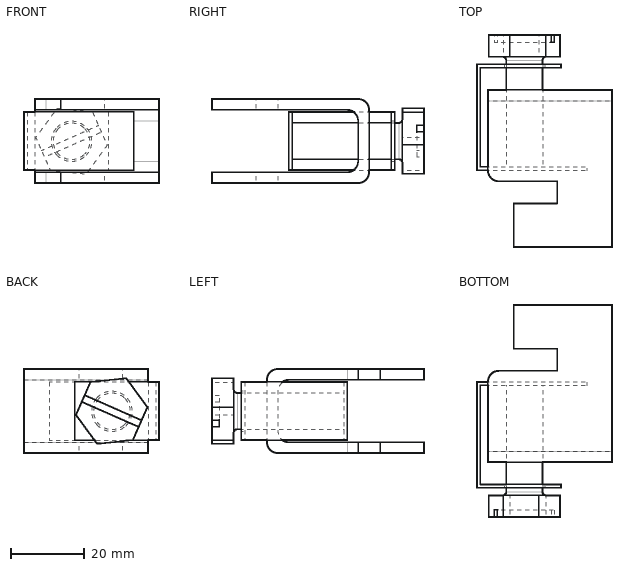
import cadquery as cq
import math


bracket_height = 23.0
bracket_length = 43.0
bracket_width = 34.0
bracket_left = -10.0
sheet_thickness = 3.0
outer_bend_radius = 3.0
inner_bend_radius = 3.0
corner_radius = 3.0
notch_rear_y = -25.0
notch_front_y = -31.0
notch_depth = 18.95
tab_setback = 7.0
bracket_right = bracket_left + bracket_width

clip_thickness = 1.0
clip_height = 15.95
clip_depth = 29.0
clip_rear_length = 23.0
clip_front_length = 30.0
clip_hole_diameter = 11.0
clip_left = bracket_left - 3.0
clip_rear_y = 7.0
clip_front_y = clip_rear_y - clip_depth

shank_diameter = 10.0
head_across_flats = 17.0
head_height = 6.0
head_top_y = 15.0
head_turn = -6.2
slot_width = 2.0
slot_depth = 2.0
slot_turn = head_turn + 30
neck_radius = 1.0
head_base_y = head_top_y - head_height
shank_tip_y = clip_front_y + clip_thickness
head_across_corners = head_across_flats / math.cos(math.radians(30))


def y_cylinder(diameter, start_y, end_y):
    """Cylinder on the bolt axis between two Y positions."""
    return (
        cq.Workplane("XZ", origin=(0, end_y, 0))
        .circle(diameter / 2)
        .extrude(end_y - start_y)
    )


def make_bracket():
    section = (
        cq.Workplane("XY")
        .box(bracket_width, bracket_length, bracket_height, centered=(False, False, True))
        .translate((bracket_left, -bracket_length, 0))
        .edges("|X and >Y")
        .fillet(outer_bend_radius)
    )
    inside = (
        cq.Workplane("XY")
        .box(
            bracket_width,
            bracket_length - sheet_thickness,
            bracket_height - 2 * sheet_thickness,
            centered=(False, False, True),
        )
        .translate((bracket_left, -bracket_length, 0))
        .edges("|X and >Y")
        .fillet(inner_bend_radius)
    )
    outline = (
        cq.Workplane("XY")
        .workplane(offset=-bracket_height / 2)
        .moveTo(bracket_left, 0)
        .lineTo(bracket_right, 0)
        .lineTo(bracket_right, -bracket_length)
        .lineTo(bracket_left + tab_setback, -bracket_length)
        .lineTo(bracket_left + tab_setback, notch_front_y)
        .lineTo(bracket_left + notch_depth, notch_front_y)
        .lineTo(bracket_left + notch_depth, notch_rear_y)
        .lineTo(bracket_left + corner_radius, notch_rear_y)
        .radiusArc((bracket_left, notch_rear_y + corner_radius), corner_radius)
        .close()
        .extrude(bracket_height)
    )
    bolt_hole = y_cylinder(shank_diameter, -sheet_thickness, 0)
    return section.cut(inside).intersect(outline).cut(bolt_hole)


def make_clip():
    inner_left = clip_left + clip_thickness
    inner_rear_y = clip_rear_y - clip_thickness
    inner_front_y = clip_front_y + clip_thickness
    strip = (
        cq.Workplane("XY")
        .workplane(offset=-clip_height / 2)
        .moveTo(clip_left, clip_rear_y)
        .lineTo(clip_left + clip_rear_length, clip_rear_y)
        .lineTo(clip_left + clip_rear_length, inner_rear_y)
        .lineTo(inner_left, inner_rear_y)
        .lineTo(inner_left, inner_front_y)
        .lineTo(clip_left + clip_front_length, inner_front_y)
        .lineTo(clip_left + clip_front_length, clip_front_y)
        .lineTo(clip_left, clip_front_y)
        .close()
        .extrude(clip_height)
    )
    return strip.cut(y_cylinder(clip_hole_diameter, inner_rear_y, clip_rear_y))


def make_bolt():
    head = (
        cq.Workplane("XZ", origin=(0, head_top_y, 0))
        .polygon(6, head_across_corners)
        .extrude(head_height)
        .rotate((0, 0, 0), (0, 1, 0), -head_turn)
    )
    slot = (
        cq.Workplane("XY")
        .box(head_across_corners, slot_depth, slot_width)
        .translate((0, head_top_y - slot_depth / 2, 0))
        .rotate((0, 0, 0), (0, 1, 0), -slot_turn)
    )
    shank = y_cylinder(shank_diameter, shank_tip_y, head_base_y)
    shank_radius = shank_diameter / 2
    neck = (
        cq.Workplane("XY")
        .moveTo(0, head_base_y)
        .lineTo(shank_radius + neck_radius, head_base_y)
        .radiusArc((shank_radius, head_base_y - neck_radius), -neck_radius)
        .lineTo(0, head_base_y - neck_radius)
        .close()
        .revolve(360, (0, 0, 0), (0, 1, 0))
    )
    return head.cut(slot).union(shank).union(neck)


bracket = make_bracket()
clip = make_clip()
bolt = make_bolt()

result = cq.Compound.makeCompound([bracket.val(), clip.val(), bolt.val()])